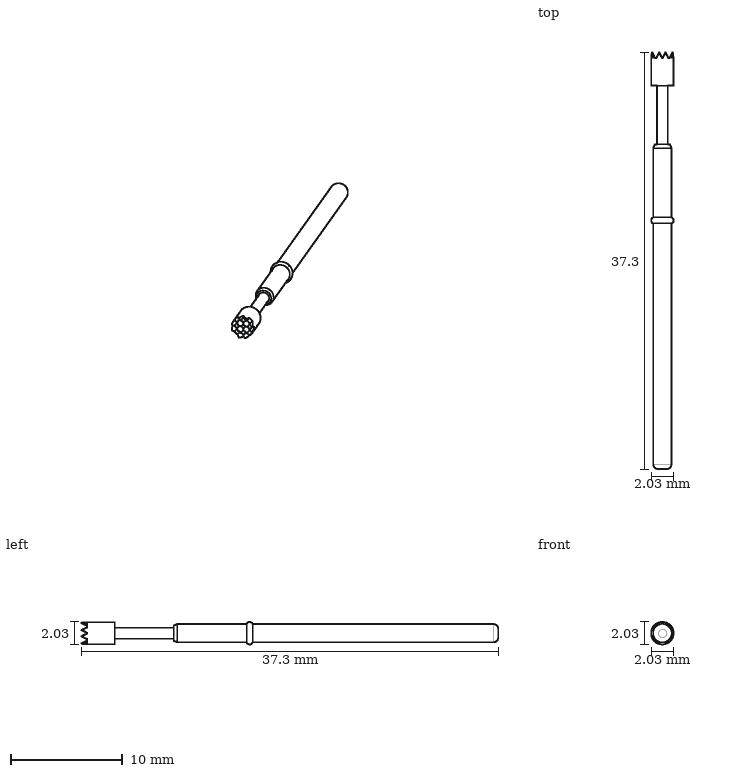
import cadquery as cq
import math

total_length = 37.3
barrel_length = 29.05
head_length = 3.0
head_rear = total_length - head_length

stem_radius = 0.5
head_radius = 1.0

barrel_radius = 0.83
rear_round = 0.46
mouth_radius = 0.69
mouth_length = 0.34

ring_radius = 2.03 / 2
ring_center = 22.25
ring_half_width = 0.27

tooth_height = 0.52
tooth_base_radius = 0.275
tooth_tip_radius = 0.004
inner_tooth_offset = 0.28
outer_tooth_offset = 0.91
crown_floor = total_length - tooth_height
tooth_root = 0.02


def make_body():
    """Revolve the barrel, press ring, stem and head about the Y axis."""
    arc_mid = 1 - math.sqrt(0.5)
    profile = (
        cq.Workplane("XY")
        .lineTo(barrel_radius - rear_round, 0)
        .threePointArc(
            (barrel_radius - rear_round * arc_mid, rear_round * arc_mid),
            (barrel_radius, rear_round),
        )
        .lineTo(barrel_radius, ring_center - ring_half_width)
        .threePointArc(
            (ring_radius, ring_center),
            (barrel_radius, ring_center + ring_half_width),
        )
        .lineTo(barrel_radius, barrel_length - mouth_length)
        .lineTo(mouth_radius, barrel_length)
        .lineTo(stem_radius, barrel_length)
        .lineTo(stem_radius, head_rear)
        .lineTo(head_radius, head_rear)
        .lineTo(head_radius, crown_floor)
        .lineTo(0, crown_floor)
        .close()
    )
    return profile.revolve(360, (0, 0, 0), (0, 1, 0))


def make_tooth(x, z):
    """Slightly blunt cone pointing along +Y, with its tip at the full length of the part."""
    height = tooth_height + tooth_root
    base_center = cq.Vector(x, crown_floor - tooth_root, z)
    return cq.Solid.makeCone(tooth_base_radius, tooth_tip_radius, height, base_center, cq.Vector(0, 1, 0))


def add_crown(body):
    """Add a square grid of teeth without its corners, trimmed to the head diameter."""
    head_envelope = cq.Workplane("XZ", origin=(0, head_rear, 0)).circle(head_radius).extrude(-head_length)
    offsets = (-outer_tooth_offset, -inner_tooth_offset, inner_tooth_offset, outer_tooth_offset)
    for x in offsets:
        for z in offsets:
            if math.hypot(x, z) < head_radius:
                body = body.union(head_envelope.intersect(cq.Workplane(make_tooth(x, z))))
    return body


result = add_crown(make_body()).solids()